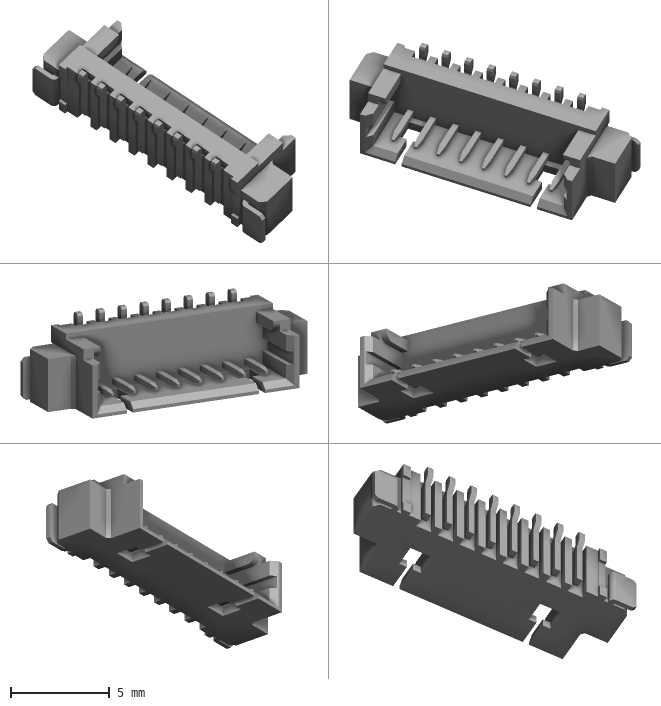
import cadquery as cq
import math


half_width = 5.88
mouth_y = 4.75
mouth_top_z = 2.8
side_top_z = 3.4
wall_top_z = 3.7

wall_back_y = 1.82
groove_floor_y = 0.74
rib_front_y = 0.32
groove_width = 0.85

post_width = 0.41
post_front_y = 0.14
post_waist_y = 0.29
post_foot_z = 0.7

cavity_half_width = 5.29
mouth_chamfer = 0.32
floor_z = 0.5
key_half_width = 4.92
key_back_y = 3.75
key_round = 0.5
undercut_depth = 0.27
undercut_bottom_z = 1.25
undercut_top_z = 1.95

pin_count = 8
pin_row_span = 8.75
pitch = pin_row_span / (pin_count - 1)
pin_width = 0.32
blade_height = pin_width
blade_mid_z = post_foot_z + blade_height / 2
blade_shoulder_y = 3.55
blade_tip_y = 4.05
tip_base_size = 0.3
tip_end_size = 0.14
tail_top_z = 4.2
tail_back_y = 0.44
tail_chamfer_y = 0.08
tail_chamfer_z = 0.14
tail_bottom_z = 3.56
shaft_front_y = 0.27
shaft_top_z = 3.15
shaft_bend_z = 3.45

window_width = pitch
window_front_y = 2.15
window_back_y = 3.32
slot_width = 0.36

ear_half_width = 7.36
ear_front_y = 0.41
ear_back_y = 2.73
ear_chamfer = 0.3
ear_gusset = 0.18

tab_half_width = 7.58
tab_front_y = 0.08
tab_back_y = 0.32
tab_top_z = 2.21
tab_corner = 0.2
tab_bend_outer_x = 6.1
tab_bend_inner_x = 6.42
tab_embed = 0.15

pin_positions = [(i - (pin_count - 1) / 2) * pitch for i in range(pin_count)]


def block(x0, x1, y0, y1, z0, z1):
    """Box spanning the given limits."""
    return cq.Workplane("XY").box(x1 - x0, y1 - y0, z1 - z0, centered=False).translate((x0, y0, z0))


def full_width_block(half, y0, y1, z0, z1):
    """Box centred on X = 0."""
    return block(-half, half, y0, y1, z0, z1)


def both_ends(right):
    """The right-hand shape together with its mirror image."""
    return right.union(right.mirror("YZ"))


def make_shell():
    """Stepped outer block, opened by the mating cavity."""
    profile = [
        (rib_front_y, 0),
        (mouth_y, 0),
        (mouth_y, mouth_top_z),
        (key_back_y, mouth_top_z),
        (key_back_y, side_top_z),
        (wall_back_y, side_top_z),
        (wall_back_y, wall_top_z),
        (rib_front_y, wall_top_z),
    ]
    shell = cq.Workplane("YZ").polyline(profile).close().extrude(half_width, both=True)

    cavity = full_width_block(cavity_half_width, wall_back_y, mouth_y, floor_z, wall_top_z)
    shell = shell.cut(cavity)

    undercut_half_width = cavity_half_width + undercut_depth
    undercut = full_width_block(
        undercut_half_width, wall_back_y, mouth_y, undercut_bottom_z, undercut_top_z
    )
    return shell.cut(undercut)


def make_mouth_chamfer():
    """Flared lead-in cut along the floor and both side walls at the mouth."""
    mid_z = (floor_z + mouth_top_z) / 2
    height = mouth_top_z - floor_z
    flare = 2 * mouth_chamfer
    return (
        cq.Workplane("XZ", origin=(0, mouth_y, mid_z))
        .rect(2 * cavity_half_width + flare, height + flare)
        .workplane(offset=mouth_chamfer)
        .rect(2 * cavity_half_width, height)
        .loft()
    )


def make_keys():
    """Ledges overhanging the cavity along the top of each side wall."""
    ledge = block(
        key_half_width, cavity_half_width, wall_back_y, key_back_y, mouth_top_z, side_top_z
    )
    return both_ends(ledge.edges(">Y and <Z").fillet(key_round))


def make_floor_openings():
    """Window and narrower mouth slot through the floor at each end."""
    opening_x = (pin_positions[-1] + pin_positions[-2]) / 2
    window = block(
        opening_x - window_width / 2, opening_x + window_width / 2,
        window_front_y, window_back_y, 0, floor_z,
    )
    slot = block(
        opening_x - slot_width / 2, opening_x + slot_width / 2,
        window_back_y, mouth_y, 0, floor_z,
    )
    return both_ends(window.union(slot))


def make_posts():
    """Corner posts, set back between their foot and their head."""
    inner_x = half_width - post_width
    foot = block(inner_x, half_width, post_front_y, rib_front_y, 0, post_foot_z)
    waist = block(inner_x, half_width, post_waist_y, rib_front_y, post_foot_z, mouth_top_z)
    head = block(inner_x, half_width, post_front_y, rib_front_y, mouth_top_z, wall_top_z)
    return both_ends(foot.union(waist).union(head))


def make_ears():
    """Side ears with a chamfered front corner and a small gusset at the back."""
    outline = [
        (half_width, ear_front_y),
        (ear_half_width - ear_chamfer, ear_front_y),
        (ear_half_width, ear_front_y + ear_chamfer),
        (ear_half_width, ear_back_y),
        (half_width + ear_gusset, ear_back_y),
        (half_width, ear_back_y + ear_gusset),
    ]
    return both_ends(cq.Workplane("XY").polyline(outline).close().extrude(mouth_top_z))


def make_tabs():
    """Solder tabs that bend out of the front of each ear."""
    bend_x = tab_bend_inner_x - tab_bend_outer_x
    bend_y = tab_back_y - tab_front_y
    root_y = ear_front_y + tab_embed
    arc_middle = math.sqrt(0.5)
    tab = (
        cq.Workplane("XY")
        .moveTo(tab_half_width, tab_front_y)
        .lineTo(tab_half_width, tab_back_y)
        .lineTo(tab_bend_inner_x, tab_back_y)
        .lineTo(tab_bend_inner_x, root_y)
        .lineTo(tab_bend_outer_x, root_y)
        .lineTo(tab_bend_outer_x, tab_back_y)
        .threePointArc(
            (tab_bend_inner_x - bend_x * arc_middle, tab_back_y - bend_y * arc_middle),
            (tab_bend_inner_x, tab_front_y),
        )
        .close()
        .extrude(tab_top_z)
    )
    return both_ends(tab.edges(">X and |Y").chamfer(tab_corner))


def make_pin():
    """One contact: tapered mating blade, front shaft and upturned tail."""
    tail_profile = [
        (groove_floor_y, post_foot_z),
        (groove_floor_y, shaft_top_z),
        (tail_back_y, shaft_bend_z),
        (tail_back_y, tail_top_z - tail_chamfer_z),
        (tail_back_y - tail_chamfer_y, tail_top_z),
        (tail_chamfer_y, tail_top_z),
        (0, tail_top_z - tail_chamfer_z),
        (0, tail_bottom_z),
        (shaft_front_y, shaft_top_z),
        (shaft_front_y, post_foot_z),
    ]
    tail = cq.Workplane("YZ").polyline(tail_profile).close().extrude(pin_width / 2, both=True)

    blade = full_width_block(
        pin_width / 2, wall_back_y, blade_shoulder_y,
        blade_mid_z - blade_height / 2, blade_mid_z + blade_height / 2,
    )
    tip = (
        cq.Workplane("XZ", origin=(0, blade_shoulder_y, blade_mid_z))
        .rect(tip_base_size, blade_height)
        .workplane(offset=blade_shoulder_y - blade_tip_y)
        .rect(tip_end_size, tip_end_size)
        .loft()
    )
    return tail.union(blade).union(tip)


housing = make_shell().union(make_keys())
housing = housing.cut(make_mouth_chamfer()).cut(make_floor_openings())

for x in pin_positions:
    groove = block(
        x - groove_width / 2, x + groove_width / 2, rib_front_y, groove_floor_y, 0, wall_top_z
    )
    housing = housing.cut(groove)

result = housing.union(make_posts()).union(make_ears()).union(make_tabs())

pin = make_pin()
for x in pin_positions:
    result = result.union(pin.translate((x, 0, 0)))